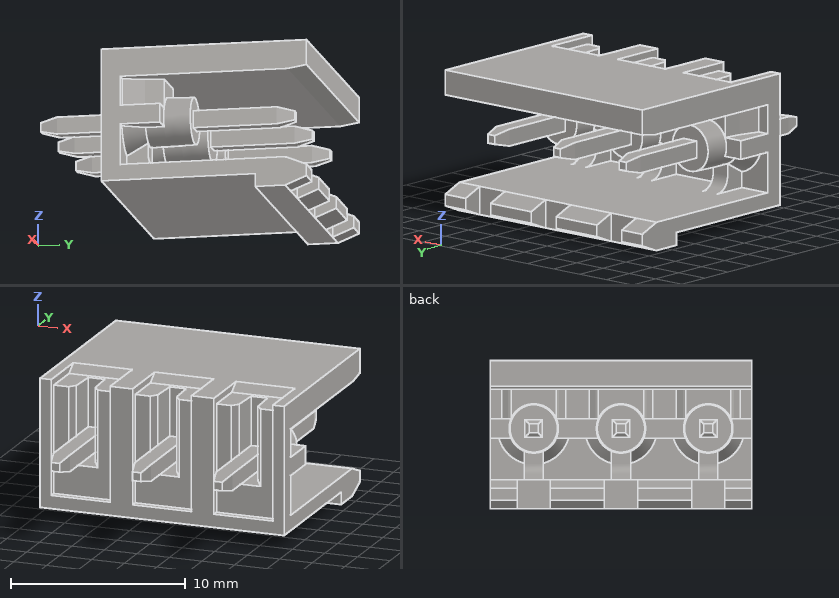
import cadquery as cq


width = 15.0
length = 12.0
height = 8.5
wall_front = 1.1
floor_bottom = 0.75
floor_top = 1.67
roof_bottom = 6.85
latch_back = 9.0
lead_length = 1.24
lead_tip_top = 1.18
lead_tip_bottom = 0.5
roof_lead_length = 1.1
roof_lead_rise = 0.18
notch_width = 1.9

pitch = 5.0
positions = [-pitch, 0.0, pitch]
axis_z = 4.6
pin_width = 1.0
pin_rear = -4.0
pin_front = 10.85
pin_taper = 1.0
pin_tip_width = 0.52

flare_end = 2.35
sleeve_end = 3.43
boss_end = 4.97
flare_radius = 2.07
sleeve_radius = 1.41
boss_front_radius = 1.36
upright_wall_half = 1.83
upright_flare_half = 1.46
upright_end_half = 1.3
web_thickness = 1.1
rib_width = 1.1
rib_fillet = 0.9

recess_width = 3.62
recess_depth = 0.42
recess_bottom = 1.55
ledge_z = 8.05
ledge_front = 2.82
ledge_slope_front = 3.5
slot_front = 2.5
slot_mouth_half = 0.9
slot_throat_half = 0.58
slot_throat_y = 0.82
slot_mouth_bottom = 3.4
slot_floor = 4.05
slot_ramp_length = 1.3


def side_prism(outline, prism_width, x=0.0):
    """Extrude a closed (Y, Z) outline along X, centred on x."""
    return outline.close().extrude(prism_width / 2, both=True).translate((x, 0, 0))


def symmetric_plan(half_plan):
    """Closed XY outline from (half width, Y) points mirrored about X = 0."""
    mirrored = [(-half_width, y) for half_width, y in reversed(half_plan)]
    return cq.Workplane("XY").polyline(half_plan + mirrored).close()


def y_box(x, box_width, y0, y1, z0, z1):
    """Box centred on x, between the given Y and Z limits."""
    box = cq.Workplane("XY").box(box_width, y1 - y0, z1 - z0, centered=(True, False, False))
    return box.translate((x, y0, z0))


def make_shell():
    """C-shaped housing: rear wall, roof and latching lower arm."""
    outline = cq.Workplane("YZ").polyline([
        (0, floor_bottom),
        (latch_back, floor_bottom),
        (latch_back, 0),
        (length - lead_length, 0),
        (length, lead_tip_bottom),
        (length, lead_tip_top),
        (length - lead_length, floor_top),
        (wall_front, floor_top),
        (wall_front, roof_bottom),
        (length - roof_lead_length, roof_bottom),
        (length, roof_bottom + roof_lead_rise),
        (length, height),
        (0, height),
    ])
    shell = side_prism(outline, width)
    for x in positions:
        shell = shell.cut(y_box(x, notch_width, length - lead_length, length, 0, floor_top))
    web_bottom = axis_z - web_thickness / 2
    web = y_box(0, width, wall_front, sleeve_end, web_bottom, web_bottom + web_thickness)
    return shell.union(web)


def make_sleeve(x):
    """Round-bottomed sleeve rising to the roof, with a round boss in front of it."""
    round_profile = [
        (0, wall_front),
        (flare_radius, wall_front),
        (sleeve_radius, flare_end),
        (sleeve_radius, sleeve_end),
        (boss_front_radius, boss_end),
        (0, boss_end),
    ]
    turned = cq.Workplane("XY").polyline(round_profile).close().revolve(360, (0, 0), (0, 1))
    upper_half = y_box(0, 2 * flare_radius, wall_front, sleeve_end, 0, flare_radius)
    turned = turned.cut(upper_half).translate((x, 0, axis_z))

    upright_plan = [
        (upright_wall_half, wall_front),
        (upright_flare_half, flare_end),
        (upright_end_half, sleeve_end),
    ]
    upright = symmetric_plan(upright_plan).extrude(roof_bottom - axis_z).translate((x, 0, axis_z))
    return turned.union(upright)


def make_rib(x):
    """Rib from the lower arm up to the sleeve, with a concave foot."""
    outline = (
        cq.Workplane("YZ")
        .moveTo(wall_front, floor_top)
        .lineTo(flare_end + rib_fillet, floor_top)
        .radiusArc((flare_end, floor_top + rib_fillet), rib_fillet)
        .lineTo(flare_end, axis_z)
        .lineTo(wall_front, axis_z)
    )
    return side_prism(outline, rib_width, x)


def make_recess(x):
    """Shallow rear recess opening into a notch in the roof with a sloped front."""
    outline = cq.Workplane("YZ").polyline([
        (0, recess_bottom),
        (recess_depth, recess_bottom),
        (recess_depth, ledge_z),
        (ledge_front, ledge_z),
        (ledge_slope_front, height),
        (0, height),
    ])
    return side_prism(outline, recess_width, x)


def make_slot(x):
    """Slot open to the top: flared mouth, tapering sides and a ramped floor."""
    plan = [
        (slot_mouth_half, recess_depth),
        (slot_throat_half, slot_throat_y),
        (pin_width / 2, slot_front),
    ]
    column = symmetric_plan(plan).extrude(height).translate((x, 0, 0))
    side = cq.Workplane("YZ").polyline([
        (recess_depth, slot_mouth_bottom),
        (recess_depth + slot_ramp_length, slot_floor),
        (slot_front, slot_floor),
        (slot_front, height),
        (recess_depth, height),
    ])
    return column.intersect(side_prism(side, recess_width, x))


def make_pin(x):
    """Square pin along Y with both ends tapered."""
    body = y_box(x, pin_width, pin_rear + pin_taper, pin_front - pin_taper,
                 axis_z - pin_width / 2, axis_z + pin_width / 2)
    for face in ("<Y", ">Y"):
        tip = (
            body.faces(face).workplane(centerOption="CenterOfMass")
            .rect(pin_width, pin_width)
            .workplane(offset=pin_taper)
            .rect(pin_tip_width, pin_tip_width)
            .loft(combine=False)
        )
        body = body.union(tip)
    return body


result = make_shell()
for x in positions:
    result = result.union(make_sleeve(x)).union(make_rib(x))
for x in positions:
    result = result.cut(make_recess(x)).cut(make_slot(x)).union(make_pin(x))